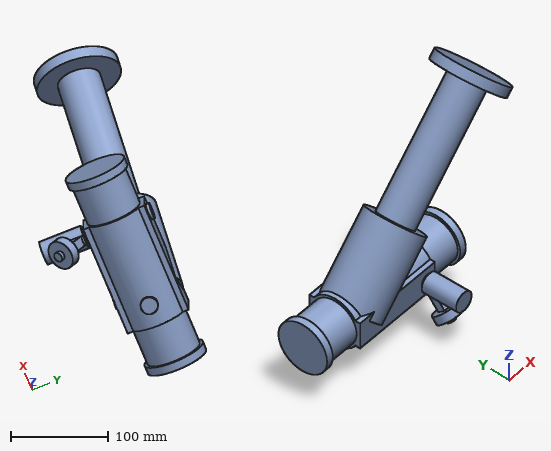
import cadquery as cq
import math

run_length = 222.8
run_diameter = 58.5
collar_diameter = 65.2
collar_thickness = 9.2

body_start = 51.5
body_end = 171.7
block_width = 67.5
block_height = 35.2

bonnet_x = 76.5
bonnet_angle = 45.0
sleeve_diameter = 73.0
sleeve_length = 102.0
neck_diameter = 46.0
flange_diameter = 90.0
flange_thickness = 12.5
bonnet_length = 279.7

bottom_plug_diameter = 18.0
side_plug_diameter = 17.0
side_plug_reach = 37.3
bottom_plug_x = 75.3
bottom_plug_reach = 35.5
outlet_x = 159.0
outlet_diameter = 25.0
outlet_start = 37.0
outlet_end = 83.0

drain_start_y = -36.0
drain_angle = 50.0
stem_width = 10.7
wheel_diameter = 31.2
wheel_start = 33.0
wheel_end = 43.5
knob_diameter = 10.0
knob_end = 47.7


def rod(origin, direction, diameter, start, end):
    """Solid cylinder between two distances along an axis."""
    axis = cq.Vector(*direction)
    base = cq.Vector(*origin) + axis * start
    return cq.Workplane(cq.Solid.makeCylinder(diameter / 2, end - start, base, axis))


def make_run():
    origin = (0, 0, 0)
    along_x = (1, 0, 0)
    run = rod(origin, along_x, run_diameter, 0, run_length)
    for start in (0, run_length - collar_thickness):
        run = run.union(rod(origin, along_x, collar_diameter, start, start + collar_thickness))
    return run


def make_body():
    barrel = rod((0, 0, 0), (1, 0, 0), collar_diameter, body_start, body_end)
    block = cq.Workplane().box(
        body_end - body_start, block_width, block_height, centered=(False, True, True)
    ).translate((body_start, 0, 0))
    return barrel.union(block)


def make_bonnet():
    angle = math.radians(bonnet_angle)
    origin = (bonnet_x, 0, 0)
    axis = (math.cos(angle), 0, math.sin(angle))
    sleeve = rod(origin, axis, sleeve_diameter, 0, sleeve_length)
    neck = rod(origin, axis, neck_diameter, 0, bonnet_length)
    flange = rod(origin, axis, flange_diameter, bonnet_length - flange_thickness, bonnet_length)
    return sleeve.union(neck).union(flange)


def make_plugs_and_outlet():
    side_origin = (outlet_x, 0, 0)
    side_plugs = rod(side_origin, (0, 1, 0), side_plug_diameter, -side_plug_reach, side_plug_reach)
    outlet = rod(side_origin, (0, -1, 0), outlet_diameter, outlet_start, outlet_end)
    bottom_plug = rod((bottom_plug_x, 0, 0), (0, 0, -1), bottom_plug_diameter, 0, bottom_plug_reach)
    return side_plugs.union(outlet).union(bottom_plug)


def make_drain():
    angle = math.radians(drain_angle)
    origin = (outlet_x, drain_start_y, 0)
    axis = (0, -math.cos(angle), -math.sin(angle))
    stem_plane = cq.Plane(origin=origin, xDir=(1, 0, 0), normal=axis)
    stem = cq.Workplane(stem_plane).rect(stem_width, stem_width).extrude(wheel_end)
    wheel = rod(origin, axis, wheel_diameter, wheel_start, wheel_end)
    knob = rod(origin, axis, knob_diameter, wheel_start, knob_end)
    return stem.union(wheel).union(knob)


result = (
    make_run()
    .union(make_body())
    .union(make_bonnet())
    .union(make_plugs_and_outlet())
    .union(make_drain())
)